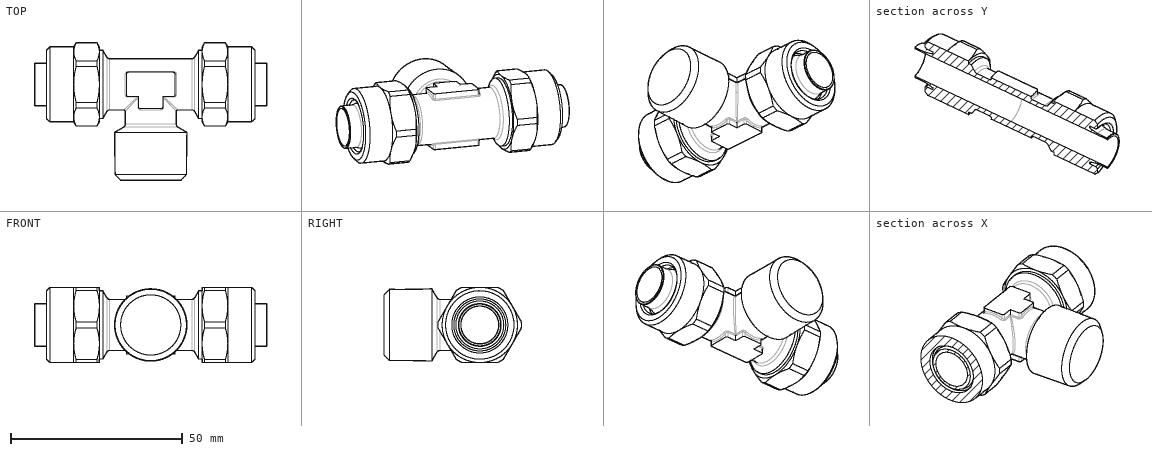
import cadquery as cq
import math

tube_end_x = 34.0
tube_radius = 6.25
tube_lip_chamfer = 0.15
bore_radius = 5.5

nut_outer_x = 30.5
hex_outer_x = 22.5
hex_inner_x = 15.0
nut_radius = 11.0
nut_edge_chamfer = 1.0
hex_across_flats = 2 * nut_radius
hex_corner_radius = 12.2
hex_bevel = (hex_corner_radius - nut_radius) * math.tan(math.radians(30))

recess_radius = 7.6
recess_mouth_chamfer = 0.6
flare_radius = 7.0
recess_depth = (flare_radius - tube_radius) / math.tan(math.radians(15))

body_radius = 7.5
shoulder_slope = math.radians(60)
foot_fillet = 1.0
foot_radius = body_radius + foot_fillet * (1 - math.cos(shoulder_slope))
joint_fillet = 0.4
collar_radius = 10.0
collar_shoulder = 14.0

branch_end = 28.0
branch_shoulder = 14.0
branch_root_radius = 10.6
branch_tip_radius = 10.45
branch_chamfer = 1.65

pad_height = 8.5
pad_half_length = 7.1
pad_half_width = 3.55
pad_corner_fillet = 0.5


def foot_start(shoulder, shoulder_radius):
    """Distance along the axis where the plain body ends and the foot fillet begins."""
    cone_length = (shoulder_radius - foot_radius) / math.tan(shoulder_slope)
    return shoulder - cone_length - foot_fillet * math.sin(shoulder_slope)


def shoulder_profile(shoulder, shoulder_radius):
    """Open profile in (distance along axis, radius): foot fillet and cone up to the shoulder."""
    start = foot_start(shoulder, shoulder_radius)
    fillet_middle = (
        start + foot_fillet * math.sin(shoulder_slope / 2),
        body_radius + foot_fillet * (1 - math.cos(shoulder_slope / 2)),
    )
    fillet_end = (start + foot_fillet * math.sin(shoulder_slope), foot_radius)
    return (
        cq.Workplane("XY")
        .moveTo(start, 0)
        .lineTo(start, body_radius)
        .threePointArc(fillet_middle, fillet_end)
        .lineTo(shoulder, shoulder_radius)
    )


def revolve_about_x(profile):
    return profile.close().revolve(360, (0, 0, 0), (1, 0, 0))


def tee_body():
    """Plain round body: the run both ways along X and the branch towards -Y."""
    run_length = foot_start(collar_shoulder, collar_radius)
    branch_length = foot_start(branch_shoulder, branch_root_radius)
    run = cq.Workplane("YZ").circle(body_radius).extrude(run_length, both=True)
    return run.union(cq.Workplane("XZ").circle(body_radius).extrude(branch_length))


def turned_coupling():
    """Collar, round part of the nut and tube on the +X side."""
    recess_floor = nut_outer_x - recess_depth
    return revolve_about_x(
        shoulder_profile(collar_shoulder, collar_radius)
        .lineTo(hex_outer_x, collar_radius)
        .lineTo(hex_outer_x, nut_radius)
        .lineTo(nut_outer_x - nut_edge_chamfer, nut_radius)
        .lineTo(nut_outer_x, nut_radius - nut_edge_chamfer)
        .lineTo(nut_outer_x, recess_radius + recess_mouth_chamfer)
        .lineTo(nut_outer_x - recess_mouth_chamfer, recess_radius)
        .lineTo(recess_floor, recess_radius)
        .lineTo(recess_floor, flare_radius)
        .lineTo(nut_outer_x, tube_radius)
        .lineTo(tube_end_x - tube_lip_chamfer, tube_radius)
        .lineTo(tube_end_x, tube_radius - tube_lip_chamfer)
        .lineTo(tube_end_x, 0)
    )


def hexagon():
    """Hexagonal part of the nut, its corners turned round and its ends bevelled."""
    prism = (
        cq.Workplane("YZ", origin=(hex_inner_x, 0, 0))
        .polygon(6, hex_across_flats / math.cos(math.radians(30)))
        .extrude(hex_outer_x - hex_inner_x)
    )
    turned_blank = revolve_about_x(
        cq.Workplane("XY")
        .moveTo(hex_inner_x, 0)
        .lineTo(hex_inner_x, nut_radius)
        .lineTo(hex_inner_x + hex_bevel, hex_corner_radius)
        .lineTo(hex_outer_x - hex_bevel, hex_corner_radius)
        .lineTo(hex_outer_x, nut_radius)
        .lineTo(hex_outer_x, 0)
    )
    return prism.intersect(turned_blank)


def branch_head():
    """Closed tapered head at the end of the branch."""
    along_x = revolve_about_x(
        shoulder_profile(branch_shoulder, branch_root_radius)
        .lineTo(branch_end - branch_chamfer, branch_tip_radius)
        .lineTo(branch_end, branch_tip_radius - branch_chamfer)
        .lineTo(branch_end, 0)
    )
    return along_x.rotate((0, 0, 0), (0, 0, 1), -90)


def pads():
    """T-shaped prism through the tee, showing as a raised pad on both sides."""
    outline = [
        (-pad_half_length, pad_half_width),
        (pad_half_length, pad_half_width),
        (pad_half_length, -pad_half_width),
        (pad_half_width, -pad_half_width),
        (pad_half_width, -pad_half_length),
        (-pad_half_width, -pad_half_length),
        (-pad_half_width, -pad_half_width),
        (-pad_half_length, -pad_half_width),
    ]
    prism = cq.Workplane("XY").polyline(outline).close().extrude(pad_height, both=True)
    return prism.edges("|Z").edges("<X or >X or <Y").fillet(pad_corner_fillet)


def fillet_joints(tee):
    """Round the inside edges where the branch meets the run and where the pads meet the body."""
    reach = body_radius + joint_fillet
    below_pad_tops = pad_height - joint_fillet
    joints = cq.selectors.BoxSelector(
        (-reach, -reach, -below_pad_tops),
        (reach, reach, below_pad_tops),
        boundingbox=True,
    )
    return tee.edges(joints).edges("not |Z").fillet(joint_fillet)


def drill_run(tee):
    bore = cq.Workplane("YZ").circle(bore_radius).extrude(tube_end_x, both=True)
    return tee.cut(bore)


coupling = turned_coupling().union(hexagon())
tee = tee_body().union(branch_head()).union(coupling).union(coupling.mirror("YZ"))
tee = fillet_joints(tee.union(pads()))
result = drill_run(tee)